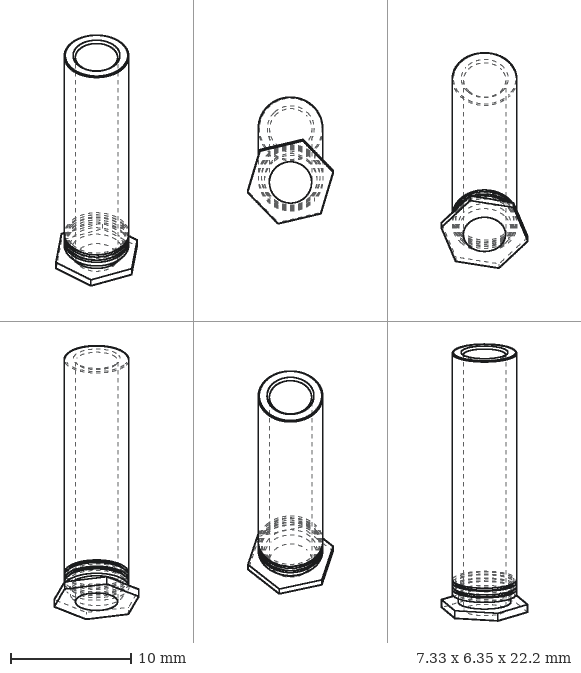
import cadquery as cq
import math

total_height = 22.23
flange_across_flats = 6.35
flange_across_corners = flange_across_flats / math.cos(math.pi / 6)
flange_thickness = 0.67

body_diameter = 5.38
neck_diameter = 4.38
groove_diameter = 4.87
bore_diameter = 3.51

body_bottom = 1.38
groove_width = 0.25
groove_bottoms = (1.78, 2.35)

rim_chamfer = 0.1
bore_chamfer = 0.2


def cylinder(diameter, bottom, top):
    """Vertical cylinder about the Z axis."""
    return cq.Workplane("XY").workplane(offset=bottom).circle(diameter / 2).extrude(top - bottom)


def hex_flange():
    """Hexagonal flange with corners on the X axis."""
    return cq.Workplane("XY").polygon(6, flange_across_corners).extrude(flange_thickness)


def barrel():
    """Long round body with a broken top rim and two square grooves near its lower end."""
    body = cylinder(body_diameter, body_bottom, total_height).faces(">Z").chamfer(rim_chamfer)
    for bottom in groove_bottoms:
        top = bottom + groove_width
        ring = cylinder(body_diameter, bottom, top).cut(cylinder(groove_diameter, bottom, top))
        body = body.cut(ring)
    return body


neck = cylinder(neck_diameter, flange_thickness, body_bottom)
solid_part = hex_flange().union(neck).union(barrel())

bored_part = solid_part.cut(cylinder(bore_diameter, 0, total_height))
result = bored_part.faces(">Z").edges(cq.selectors.RadiusNthSelector(0)).chamfer(bore_chamfer)